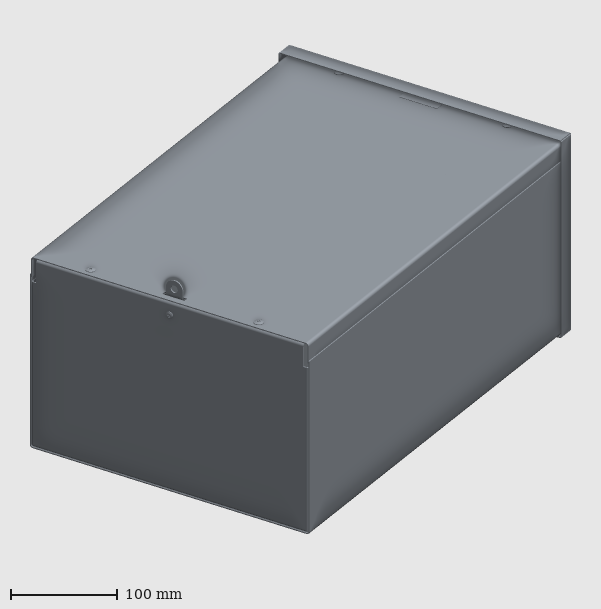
import cadquery as cq
sheet = 1.15
bend = 3.0
inner_bend = bend - sheet

pan_width = 312.5
pan_height = 213.5
pan_depth = 18.5
pan_back = 230.0
pan_bend = 2.0
pan_inner_bend = pan_bend - sheet

tray_width = 309.0
tray_floor = 2.0
tray_front = -228.5
tray_back = pan_back - sheet
side_rim = 189.0
rim_gap = 1.0
front_rim = 16.0
front_top_width = 295.0
relief_bottom = 181.0

foot_diameter = 20.0
foot_inset = 38.0

lid_width = tray_width - 2 * sheet
lid_top = 208.0
lid_bottom = 186.0
lid_underside = lid_top - sheet
front_top = lid_underside - rim_gap
pad_width = 41.5
pad_height = 0.5
pad_overhang = 3.0

hasp_width = 18.5
hasp_thickness = 1.5
hasp_top = 225.0
hasp_hole = 8.0
hasp_bottom = 184.0
hasp_jog_top = 197.2
hasp_bend = 2.0
fixing_y = -219.8
slot_length = 24.5
slot_width = 4.5

shank_diameter = 4.3
shank_length = 7.0
head_height = 1.5
head_rim = 0.7
head_crown = 4.5
recess_span = 3.45
recess_width = 1.15
recess_depth = 0.7
lid_head = 9.5
lid_screw_x = 93.0
rear_screw_y = 217.5
front_head = 8.0
front_screw_z = 191.5

tray_half = tray_width / 2
front_inside = tray_front + sheet
lid_screw_spots = [(x, y) for x in (-lid_screw_x, lid_screw_x) for y in (fixing_y, rear_screw_y)]


def block(x0, x1, y0, y1, z0, z1):
    """Box between opposite corners."""
    return cq.Workplane("XY").box(x1 - x0, y1 - y0, z1 - z0, centered=False).translate((x0, y0, z0))


def vertical_holes(z0, z1):
    """Clearance for the shanks of the lid screws between two heights."""
    holes = cq.Workplane("XY").workplane(offset=z0).pushPoints(lid_screw_spots)
    return holes.circle(shank_diameter / 2).extrude(z1 - z0)


def front_screw_hole():
    """Clearance for the shank of the front screw."""
    start = cq.Workplane("XZ", origin=(0, tray_front, front_screw_z))
    return start.circle(shank_diameter / 2).extrude(-shank_length)


def hasp_slot(z0, z1):
    """Opening that the hasp passes through."""
    half_length = slot_length / 2
    half_width = slot_width / 2
    return block(-half_length, half_length, fixing_y - half_width, fixing_y + half_width, z0, z1)


def make_pan():
    half = pan_width / 2
    front = pan_back - pan_depth
    outer = block(-half, half, front, pan_back, 0, pan_height)
    outer = outer.faces(">Y").edges().fillet(pan_bend)
    inside = half - sheet
    cavity = block(-inside, inside, front, tray_back, sheet, pan_height - sheet)
    cavity = cavity.faces(">Y").edges().fillet(pan_inner_bend)
    pan = outer.cut(cavity)
    for x in (-half, inside):
        for z in (0, pan_height - sheet):
            pan = pan.cut(block(x, x + sheet, front, pan_back, z, z + sheet))
    return pan


def make_front_wall():
    """Dished front wall, with a rim bent back all round and reliefs in its top corners."""
    half = tray_half - sheet
    bottom = tray_floor + sheet
    rim_back = tray_front + front_rim
    outer = block(-half, half, tray_front, rim_back, bottom, front_top)
    outer = outer.faces("<Y").edges().fillet(bend)
    inside = half - sheet
    cavity = block(-inside, inside, front_inside, rim_back, bottom + sheet, front_top - sheet)
    wall = outer.cut(cavity.faces("<Y").edges().fillet(inner_bend))
    top_half = front_top_width / 2
    for x0, x1 in ((-half, -top_half), (top_half, half)):
        wall = wall.cut(block(x0, x1, tray_front, rim_back, relief_bottom, front_top))
    return wall


def make_feet():
    x = tray_half - foot_inset
    spots = [(sx * x, y) for sx in (-1, 1) for y in (tray_front + foot_inset, tray_back - foot_inset)]
    return cq.Workplane("XY").pushPoints(spots).circle(foot_diameter / 2).extrude(tray_floor + sheet)


def make_tray():
    outer = block(-tray_half, tray_half, tray_front, tray_back, tray_floor, side_rim)
    outer = outer.edges("|Y and <Z").fillet(bend)
    inside = tray_half - sheet
    cavity = block(-inside, inside, tray_front, tray_back, tray_floor + sheet, side_rim)
    tray = outer.cut(cavity.edges("|Y and <Z").fillet(inner_bend))
    tray = tray.union(make_front_wall()).union(make_feet())
    tray = tray.cut(vertical_holes(front_top - sheet, front_top))
    return tray.cut(hasp_slot(front_top - sheet, front_top)).cut(front_screw_hole())


def make_lid():
    half = lid_width / 2
    outer = block(-half, half, tray_front, tray_back, lid_bottom, lid_top).edges("|Y and >Z").fillet(bend)
    inside = half - sheet
    cavity = block(-inside, inside, tray_front, tray_back, lid_bottom, lid_underside)
    lid = outer.cut(cavity.edges("|Y and >Z").fillet(inner_bend))
    pad_front = pan_back - pan_depth - pad_overhang
    pad = block(-pad_width / 2, pad_width / 2, pad_front, tray_back, lid_underside, lid_top + pad_height)
    lid = lid.union(pad)
    return lid.cut(vertical_holes(lid_underside, lid_top)).cut(hasp_slot(lid_underside, lid_top))


def make_hasp():
    ring_radius = hasp_width / 2
    ring_front = fixing_y - hasp_thickness / 2
    ring_back = ring_front + hasp_thickness
    jog_bottom = hasp_jog_top - hasp_thickness
    side = [
        (front_inside, hasp_bottom),
        (front_inside, hasp_jog_top),
        (ring_front, hasp_jog_top),
        (ring_front, hasp_top),
        (ring_back, hasp_top),
        (ring_back, jog_bottom),
        (front_inside + hasp_thickness, jog_bottom),
        (front_inside + hasp_thickness, hasp_bottom),
    ]
    plate = cq.Workplane("YZ").polyline(side).close().extrude(ring_radius, both=True)
    bend_line = (0, front_inside, hasp_jog_top)
    plate = plate.edges(cq.selectors.NearestToPointSelector(bend_line)).fillet(hasp_bend)
    ring_z = hasp_top - ring_radius
    ring_plane = cq.Workplane("XZ", origin=(0, ring_back, ring_z))
    corners = block(-ring_radius, ring_radius, ring_front, ring_back, ring_z, hasp_top)
    corners = corners.cut(ring_plane.circle(ring_radius).extrude(hasp_thickness))
    hole = ring_plane.circle(hasp_hole / 2).extrude(hasp_thickness)
    return plate.cut(corners).cut(hole).cut(front_screw_hole())


def make_screw(head_diameter):
    """Screw along Z with the underside of its head at the origin."""
    outline = [
        (0, 0),
        (head_diameter / 2, 0),
        (head_diameter / 2, head_rim),
        (head_crown / 2, head_height),
        (0, head_height),
    ]
    head = cq.Workplane("XZ").polyline(outline).close().revolve(360, (0, 0), (0, 1))
    shank = cq.Workplane("XY").circle(shank_diameter / 2).extrude(-shank_length)
    recess = cq.Workplane("XY").workplane(offset=head_height - recess_depth)
    recess = recess.rect(recess_span, recess_width).extrude(head_height)
    crossing = recess.rotate((0, 0, 0), (0, 0, 1), 90)
    return head.union(shank).cut(recess).cut(crossing)


pan = make_pan()
tray = make_tray()
lid = make_lid()
hasp = make_hasp()
lid_screws = [make_screw(lid_head).translate((x, y, lid_top)) for x, y in lid_screw_spots]
front_screw = make_screw(front_head).rotate((0, 0, 0), (1, 0, 0), 90)
front_screw = front_screw.translate((0, tray_front, front_screw_z))

bodies = [pan, tray, lid, hasp, *lid_screws, front_screw]
result = cq.Compound.makeCompound([body.val() for body in bodies])